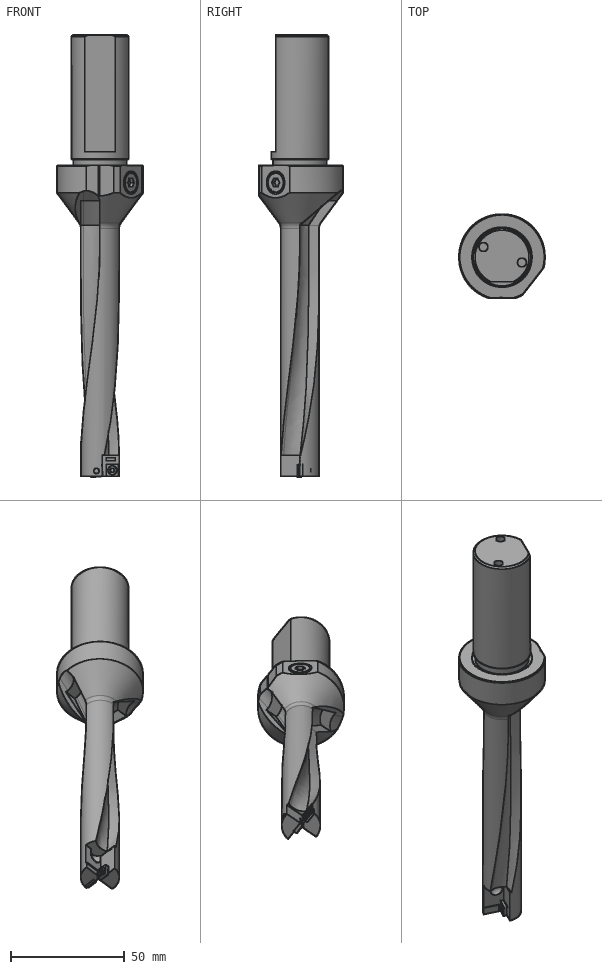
import cadquery as cq
import math

OVERALL_LENGTH = 195.1

SHANK_RADIUS = 12.7
SHANK_BOTTOM = 140.0
SHANK_TOP_CHAMFER = 0.8
SHANK_BOTTOM_CHAMFER = 0.4
SHANK_FLAT_OFFSET = 10.7
SHANK_FLAT_BOTTOM = 143.5
NECK_RADIUS = 11.9

FLANGE_RADIUS = 19.02
FLANGE_TOP = 137.5
FLANGE_CHAMFER = 0.4
NECK_GROOVE_RADIUS = 13.3
NECK_GROOVE_DEPTH = 0.5
CONE_TOP = 125.5
CONE_BOTTOM = 111.2
FRONT_FLAT_OFFSET = 18.05
INDEX_MARK_X = -0.4
INDEX_MARK_WIDTH = 0.5
INDEX_MARK_DEPTH = 0.2
PLUG_FLAT_OFFSET = 17.4
PLUG_ANGLE = -38.0
PLUG_HEIGHT = 130.0

DRILL_RADIUS = 8.5
DRILL_END = 0.4
CONE_FILLET = 3.9

FLUTE_TWIST_START = 101.5
FLUTE_TWIST_REFERENCE = 11.7
FLUTE_TWIST = 85.0
FLUTE_TWIST_POWER = 1.7
FLUTE_WALL_START = 3.9
FLUTE_FLOOR_START = 7.5
FLUTE_REACH = 13.7
FLUTE_STATIONS = 11

RUNOUT_REACH = 19.5
RUNOUT_SLOPE = 0.85
GROOVE_WIDTH = 8.5
GROOVE_RISE = 10.7
GROOVE_SLOPE = 1.5

INNER_FLUTE_END = 15.6
OUTER_FLUTE_END = 9.8

FLUTES = [(0.0, 0.72, INNER_FLUTE_END), (180.0, 0.87, OUTER_FLUTE_END)]

INNER_POCKET_FLOOR = 0.2
INNER_POCKET_STEP = 0.4
INNER_LEDGE_TOP = 3.9
INNER_LEDGE_SIDE = 1.4
INNER_HOLLOW_RADIUS = 3.0
INNER_HOLLOW_CENTER = (-0.8, 2.5)
INNER_HOLLOW_BOTTOM = 9.2
INNER_POCKET_WALL = -0.8
OUTER_POCKET_FLOOR = 1.0
OUTER_POCKET_WALL = 0.0
RELIEF_SLOT_X = (2.7, 6.8)
RELIEF_SLOT_Z = (7.2, 8.5)
RELIEF_SLOT_DEPTH = 0.8

INSERT_SIZE = 5.3
INSERT_THICKNESS = 1.8
INSERT_FACE = 0.5
INSERT_CORNER = 0.4
INNER_INSERT_CENTER = (-1.5, 2.83)
INNER_INSERT_TILT = 5.0
OUTER_INSERT_CENTER = (5.5, 3.1)
OUTER_INSERT_TILT = 0.0
SCREW_HEAD_RADIUS = 2.0
SCREW_RADIUS = 1.2
SCREW_HEAD_HEIGHT = 1.2
SCREW_LENGTH = 5.5
SCREW_SOCKET = 2.0
SCREW_SOCKET_DEPTH = 0.8

HEXAGON = 6
COOLANT_RADIUS = 2.0
COOLANT_CENTERS = [(-8.2, 4.5), (8.8, -2.3)]
COOLANT_BOTTOM = 128.8
PLUG_RADIUS = 4.3
PLUG_LENGTH = 3.9
PLUG_RECESS_CHAMFER = 0.8
PLUG_SOCKET = 4.3
PLUG_SOCKET_DEPTH = 2.0


def block(x_range, y_range, z_range):
    """Box between the given pairs of limits."""
    size = [high - low for low, high in (x_range, y_range, z_range)]
    corner = (x_range[0], y_range[0], z_range[0])
    return cq.Workplane("XY").box(*size, centered=False).translate(corner)


def turned_blank():
    """Shank, neck, flange, cone and drill cylinder as one turned shape."""
    cone_slope = math.atan2(CONE_TOP - CONE_BOTTOM, FLANGE_RADIUS - DRILL_RADIUS)
    tangent = CONE_FILLET * math.tan((math.pi / 2 - cone_slope) / 2)
    fillet_side = CONE_FILLET + DRILL_RADIUS
    fillet_bottom = CONE_BOTTOM - tangent
    turn = math.pi / 2 - cone_slope

    def fillet_point(angle):
        return (fillet_side - CONE_FILLET * math.cos(angle), fillet_bottom + CONE_FILLET * math.sin(angle))

    return (
        cq.Workplane("XZ")
        .moveTo(0, DRILL_END)
        .lineTo(DRILL_RADIUS, DRILL_END)
        .lineTo(DRILL_RADIUS, fillet_bottom)
        .threePointArc(fillet_point(turn / 2), fillet_point(turn))
        .lineTo(FLANGE_RADIUS, CONE_TOP)
        .lineTo(FLANGE_RADIUS, FLANGE_TOP - FLANGE_CHAMFER)
        .lineTo(FLANGE_RADIUS - FLANGE_CHAMFER, FLANGE_TOP)
        .lineTo(NECK_GROOVE_RADIUS, FLANGE_TOP)
        .lineTo(NECK_GROOVE_RADIUS, FLANGE_TOP - NECK_GROOVE_DEPTH)
        .lineTo(NECK_RADIUS, FLANGE_TOP - NECK_GROOVE_DEPTH)
        .lineTo(NECK_RADIUS, SHANK_BOTTOM)
        .lineTo(SHANK_RADIUS - SHANK_BOTTOM_CHAMFER, SHANK_BOTTOM)
        .lineTo(SHANK_RADIUS, SHANK_BOTTOM + SHANK_BOTTOM_CHAMFER)
        .lineTo(SHANK_RADIUS, OVERALL_LENGTH - SHANK_TOP_CHAMFER)
        .lineTo(SHANK_RADIUS - SHANK_TOP_CHAMFER, OVERALL_LENGTH)
        .lineTo(0, OVERALL_LENGTH)
        .close()
        .revolve(360, (0, 0, 0), (0, 1, 0))
    )


def flat_cutter(angle, offset, bottom, top):
    """Slab outside a plane that faces the given direction at the given distance from the axis."""
    depth = FLANGE_RADIUS
    half_width = FLANGE_RADIUS
    slab = block((offset, offset + depth), (-half_width, half_width), (bottom, top))
    return slab.rotate((0, 0, 0), (0, 0, 1), angle)


def wall_twist(height):
    """Twist of the flute wall, in degrees, growing towards the tip."""
    drop = max(FLUTE_TWIST_START - height, 0)
    return FLUTE_TWIST * (drop / (FLUTE_TWIST_START - FLUTE_TWIST_REFERENCE)) ** FLUTE_TWIST_POWER


def flute_section(height, floor_ratio):
    """Sector between the flute's radial wall and floor, with a hollow root near the axis."""
    twist = wall_twist(height)
    wall = math.radians(-90 - twist)
    floor = math.radians(-180 - floor_ratio * twist)
    middle = (wall + floor) / 2

    def at(radius, angle):
        return cq.Vector(radius * math.cos(angle), radius * math.sin(angle), height)

    wall_start = at(FLUTE_WALL_START, wall)
    wall_end = at(FLUTE_REACH, wall)
    floor_start = at(FLUTE_FLOOR_START, floor)
    floor_end = at(FLUTE_REACH, floor)
    inward = at(0, floor) - floor_end
    return cq.Wire.assembleEdges([
        cq.Edge.makeLine(wall_end, wall_start),
        cq.Edge.makeTangentArc(floor_start, inward, wall_start),
        cq.Edge.makeLine(floor_start, floor_end),
        cq.Edge.makeThreePointArc(floor_end, at(FLUTE_REACH, middle), wall_end),
    ])


def flute_cutter(rotation, floor_ratio, bottom):
    """Twisted flute with its sloping run-out and groove through the cone."""
    step = (CONE_BOTTOM - bottom) / (FLUTE_STATIONS - 1)
    heights = [CONE_BOTTOM - i * step for i in range(FLUTE_STATIONS)]
    twisted = cq.Solid.makeLoft([flute_section(height, floor_ratio) for height in heights])
    top_section = flute_section(CONE_BOTTOM, floor_ratio)
    slope_path = cq.Vector(0, -RUNOUT_REACH, RUNOUT_REACH * RUNOUT_SLOPE)
    slope = cq.Solid.extrudeLinear(top_section, [], slope_path)
    groove_path = cq.Vector(0, -GROOVE_RISE / GROOVE_SLOPE, GROOVE_RISE)
    groove = cq.Workplane(cq.Solid.extrudeLinear(top_section, [], groove_path)).intersect(
        block((-GROOVE_WIDTH, 0), (-2 * FLUTE_REACH, 0), (CONE_BOTTOM, FLANGE_TOP))
    )
    pieces = [cq.Workplane(twisted), cq.Workplane(slope), groove]
    return [piece.rotate((0, 0, 0), (0, 0, 1), rotation) for piece in pieces]


def chip_pockets():
    """Clearances ahead of the two inserts, with the ledge, hollow and slot beside them."""
    below = DRILL_END - 2.0
    inner = block(
        (-FLUTE_REACH, INNER_POCKET_FLOOR),
        (INNER_POCKET_WALL, FLUTE_REACH),
        (below, INNER_FLUTE_END),
    )
    outer = block(
        (OUTER_POCKET_FLOOR, FLUTE_REACH),
        (-FLUTE_REACH, OUTER_POCKET_WALL),
        (below, OUTER_FLUTE_END),
    )
    ledge = block(
        (INNER_POCKET_FLOOR - INNER_POCKET_STEP, INNER_POCKET_FLOOR),
        (INNER_LEDGE_SIDE, FLUTE_REACH),
        (below, INNER_LEDGE_TOP),
    )
    hollow_base = (*INNER_HOLLOW_CENTER, INNER_HOLLOW_BOTTOM + INNER_HOLLOW_RADIUS)
    hollow = (
        cq.Workplane("XY", origin=hollow_base)
        .circle(INNER_HOLLOW_RADIUS)
        .extrude(INNER_FLUTE_END - hollow_base[2])
        .union(cq.Workplane("XY", origin=hollow_base).sphere(INNER_HOLLOW_RADIUS))
    )
    slot = block(RELIEF_SLOT_X, (OUTER_POCKET_WALL, OUTER_POCKET_WALL + RELIEF_SLOT_DEPTH), RELIEF_SLOT_Z)
    return [inner.cut(ledge), outer, hollow, slot]


def placed(shape, center, tilt, facing):
    """Tilt in its own plane, turn to face -Y (1) or +Y (-1), and move to its X, Z centre."""
    tilted = shape.rotate((0, 0, 0), (0, 1, 0), tilt)
    turned = tilted.rotate((0, 0, 0), (0, 0, 1), 0 if facing > 0 else 180)
    return turned.translate((center[0], -facing * INSERT_FACE, center[1]))


def insert_plate():
    """Square plate with rounded corners, before its screw hole."""
    return (
        cq.Workplane("XZ")
        .rect(INSERT_SIZE, INSERT_SIZE)
        .extrude(-INSERT_THICKNESS)
        .edges("|Y")
        .fillet(INSERT_CORNER)
    )


def screw_blank(length):
    """Countersunk head and plain shank along +Y."""
    return (
        cq.Workplane("XY")
        .lineTo(SCREW_HEAD_RADIUS, 0)
        .lineTo(SCREW_RADIUS, SCREW_HEAD_HEIGHT)
        .lineTo(SCREW_RADIUS, length)
        .lineTo(0, length)
        .close()
        .revolve(360, (0, 0, 0), (0, 1, 0))
    )


def insert_screw():
    """Countersunk screw with a hexagon socket."""
    socket = cq.Workplane("XZ").polygon(HEXAGON, SCREW_SOCKET).extrude(-SCREW_SOCKET_DEPTH)
    return screw_blank(SCREW_LENGTH).cut(socket)


INSERT_SEATS = [
    (INNER_INSERT_CENTER, INNER_INSERT_TILT, -1, 2 * DRILL_RADIUS),
    (OUTER_INSERT_CENTER, OUTER_INSERT_TILT, 1, SCREW_LENGTH),
]


def plug_face():
    return cq.Workplane("YZ", origin=(PLUG_FLAT_OFFSET, 0, 0))


def plug_placed(shape):
    """Lift to the plug height and turn towards the plug flat."""
    return shape.translate((0, 0, PLUG_HEIGHT)).rotate((0, 0, 0), (0, 0, 1), PLUG_ANGLE)


def plug_blank():
    """Plain cylinder, flush with the plug flat."""
    return plug_face().circle(PLUG_RADIUS).extrude(-PLUG_LENGTH)


def plug_mouth():
    """Countersink around the plug."""
    return (
        plug_face()
        .circle(PLUG_RADIUS + PLUG_RECESS_CHAMFER)
        .extrude(-PLUG_RECESS_CHAMFER, taper=45)
    )


def coolant_plug():
    """Plug with its hexagon socket, in the flange."""
    socket = plug_face().polygon(HEXAGON, PLUG_SOCKET).extrude(-PLUG_SOCKET_DEPTH)
    return plug_placed(plug_blank().cut(socket))


def index_mark():
    """Fine vertical line cut into the front flat of the flange."""
    half_width = INDEX_MARK_WIDTH / 2
    return block(
        (INDEX_MARK_X - half_width, INDEX_MARK_X + half_width),
        (-FRONT_FLAT_OFFSET, INDEX_MARK_DEPTH - FRONT_FLAT_OFFSET),
        (CONE_BOTTOM, FLANGE_TOP),
    )


def drill_body():
    """Complete holder with its flutes, pockets, seats, coolant holes and plug recess."""
    body = turned_blank()
    body = body.cut(flat_cutter(-90, SHANK_FLAT_OFFSET, SHANK_FLAT_BOTTOM, OVERALL_LENGTH))
    body = body.cut(flat_cutter(-90, FRONT_FLAT_OFFSET, CONE_BOTTOM, FLANGE_TOP))
    body = body.cut(flat_cutter(PLUG_ANGLE, PLUG_FLAT_OFFSET, CONE_BOTTOM, FLANGE_TOP))
    for flute in FLUTES:
        for cutter in flute_cutter(*flute):
            body = body.cut(cutter)
    for pocket in chip_pockets():
        body = body.cut(pocket)
    for center, tilt, facing, hole_length in INSERT_SEATS:
        body = body.cut(placed(insert_plate(), center, tilt, facing))
        body = body.cut(placed(screw_blank(hole_length), center, tilt, facing))
    coolant_depth = OVERALL_LENGTH - COOLANT_BOTTOM
    for center in COOLANT_CENTERS:
        hole_start = cq.Workplane("XY", origin=(*center, COOLANT_BOTTOM))
        hole = hole_start.circle(COOLANT_RADIUS).extrude(coolant_depth)
        body = body.cut(hole)
    body = body.cut(index_mark())
    return body.cut(plug_placed(plug_blank())).cut(plug_placed(plug_mouth()))


drill = drill_body()
plug = coolant_plug()
inserts = []
screws = []
for center, tilt, facing, _ in INSERT_SEATS:
    inserts.append(placed(insert_plate().cut(screw_blank(SCREW_LENGTH)), center, tilt, facing).val())
    screws.append(placed(insert_screw(), center, tilt, facing).val())

result = cq.Compound.makeCompound([drill.val(), plug.val(), *inserts, *screws])